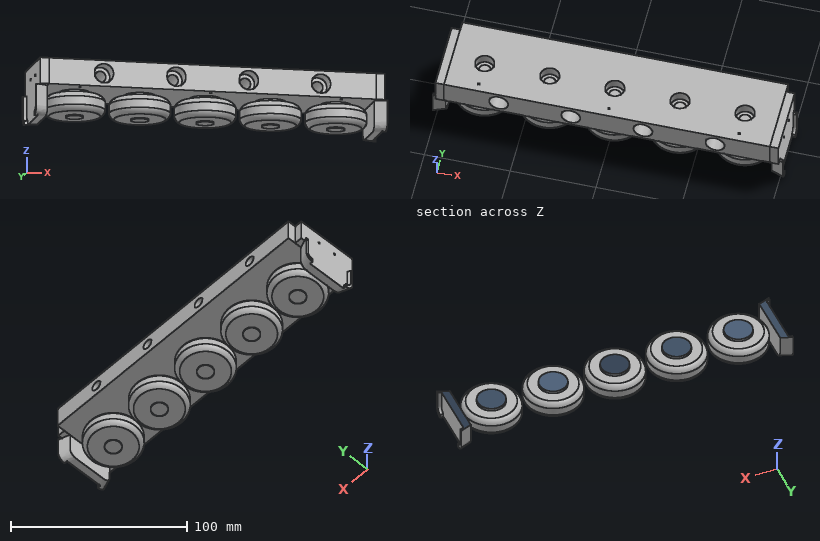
import cadquery as cq

total_length = 204.0
total_height = 32.2

rail_length = 190.0
rail_width = 45.3
rail_height = 15.0
rail_front = -19.8

bolt_pitch = 42.0
bolt_count = 4
bolt_dia = 6.5
bolt_head_dia = 11.0
bolt_head_depth = 10.2
bolt_z = -rail_height / 2

roller_pitch = 38.0
roller_count = 5
roller_dia = 35.0
roller_top = -17.5
roller_bottom = -29.0
roller_edge_height = 3.3
roller_edge_inset = 2.9
roller_edge_radius = 5.0
hub_dia = 17.0
stud_dia = 6.7
stud_recess_dia = 11.0
stud_recess_depth = 6.0
boss_dia = 10.0
boss_height = 0.6

pin_hole_dia = 1.0
pin_hole_setback = 5.0
pin_hole_y = rail_front + pin_hole_setback
cap_hole_count = 2
cap_hole_spacing = 12.0
cap_hole_z = -rail_height / 2

outer_x = -total_length / 2
lip_depth = 2.0
cap_thickness = (total_length - rail_length) / 2 - lip_depth
cap_width = 40.0
cap_y = rail_front + cap_width / 2
cap_face_x = outer_x + lip_depth

tongue_inset = 1.8
tongue_width = cap_width - 2 * tongue_inset
tongue_taper = 2.7
tongue_depth = cap_thickness + lip_depth
tongue_radius = 4.9

lip_side = 1.53
lip_foot = 2.2
lip_reach = 5.0


def centred_positions(count, pitch):
    """Evenly spaced positions, symmetric about zero."""
    return [(i - (count - 1) / 2) * pitch for i in range(count)]


roller_x = centred_positions(roller_count, roller_pitch)
bolt_x = centred_positions(bolt_count, bolt_pitch)


def make_rail():
    """Rectangular bar with its cross bolt holes, stud holes and pin holes."""
    rail = cq.Workplane("XY").box(rail_length, rail_width, rail_height, centered=(True, False, False))
    rail = rail.translate((0, rail_front, -rail_height))

    rail = (
        rail.faces("<Y").workplane(origin=(0, rail_front, bolt_z))
        .pushPoints([(x, 0) for x in bolt_x])
        .cboreHole(bolt_dia, bolt_head_dia, bolt_head_depth)
    )
    rail = (
        rail.faces(">Z").workplane(origin=(0, 0, 0))
        .pushPoints([(x, 0) for x in roller_x])
        .cboreHole(stud_dia, stud_recess_dia, stud_recess_depth)
    )
    return (
        rail.faces(">Z").workplane(origin=(0, 0, 0))
        .pushPoints([(x, pin_hole_y) for x in roller_x[::2]])
        .hole(pin_hole_dia)
    )


def make_roller(x):
    """Roller with its hub and stud in one turned piece; the stud fills the narrow hole in the rail."""
    rim = roller_dia / 2
    flat = rim - roller_edge_inset
    rim_top = roller_top - roller_edge_height
    rim_bottom = roller_bottom + roller_edge_height
    profile = (
        cq.Workplane("XZ")
        .moveTo(0, -stud_recess_depth)
        .lineTo(stud_dia / 2, -stud_recess_depth)
        .lineTo(stud_dia / 2, -rail_height)
        .lineTo(hub_dia / 2, -rail_height)
        .lineTo(hub_dia / 2, roller_top)
        .lineTo(flat, roller_top)
        .radiusArc((rim, rim_top), roller_edge_radius)
        .lineTo(rim, rim_bottom)
        .radiusArc((flat, roller_bottom), roller_edge_radius)
        .lineTo(boss_dia / 2, roller_bottom)
        .lineTo(boss_dia / 2, roller_bottom - boss_height)
        .lineTo(0, roller_bottom - boss_height)
        .close()
    )
    return profile.revolve(360, (0, 0), (0, 1)).translate((x, 0, 0))


def tongue_section(x, side, foot, radius):
    """U-shaped wire across the tongue at x, drawn in by side and foot, with rounded lower corners."""
    drawn_in = tongue_taper * (x - outer_x) / tongue_depth
    half = tongue_width / 2 - side - drawn_in
    bottom = -total_height + foot
    section = (
        cq.Workplane("YZ", origin=(x, cap_y, 0))
        .moveTo(-half, -rail_height)
        .lineTo(-half, bottom + radius)
        .radiusArc((-half + radius, bottom), -radius)
        .lineTo(half - radius, bottom)
        .radiusArc((half, bottom + radius), -radius)
        .lineTo(half, -rail_height)
        .close()
    )
    return section.val()


def tongue_block(depth, side, foot, radius):
    """Tapered block running from the outer end towards the rail."""
    sections = [tongue_section(x, side, foot, radius) for x in (outer_x, outer_x + depth)]
    return cq.Workplane(cq.Solid.makeLoft(sections, True))


def make_tongue():
    """Tapered tongue with two hooked lips standing out from its end face."""
    tongue = tongue_block(tongue_depth, 0, 0, tongue_radius)
    recess = tongue_block(lip_depth, lip_side, lip_foot, lip_reach - lip_side)
    gap = cq.Workplane("XY").box(
        lip_depth, tongue_width - 2 * lip_reach, total_height, centered=(False, True, False)
    )
    return tongue.cut(recess).cut(gap.translate((outer_x, cap_y, -total_height)))


def make_left_cap():
    """Plate against the rail's end with the tongue below it and two small through holes."""
    plate = cq.Workplane("XY").box(cap_thickness, cap_width, rail_height, centered=(False, True, False))
    plate = plate.translate((cap_face_x, cap_y, -rail_height))
    cap = plate.union(make_tongue())
    holes = (
        cq.Workplane("YZ", origin=(cap_face_x, cap_y, cap_hole_z))
        .pushPoints([(y, 0) for y in centred_positions(cap_hole_count, cap_hole_spacing)])
        .circle(pin_hole_dia / 2)
        .extrude(cap_thickness)
    )
    return cap.cut(holes)


rail = make_rail()
rollers = [make_roller(x) for x in roller_x]
left_cap = make_left_cap()
right_cap = left_cap.mirror("YZ")

result = cq.Compound.makeCompound(
    [rail.val(), left_cap.val(), right_cap.val(), *[roller.val() for roller in rollers]]
)